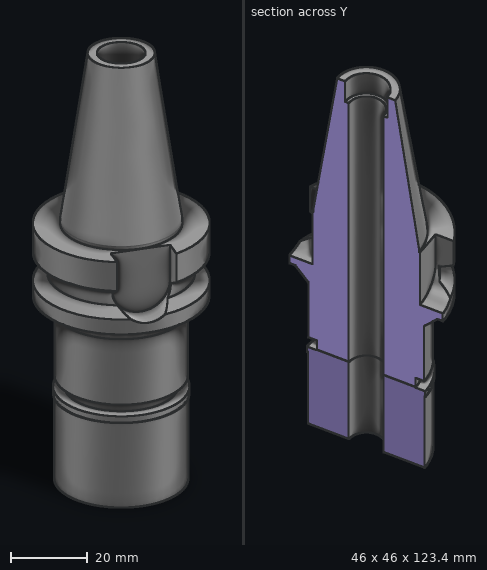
import cadquery as cq

total_height = 123.4
taper_base_z = 75.0
flange_top_z = 74.0
upper_flange_bottom_z = 65.6
groove_top_z = 63.2
groove_bottom_z = 59.6
lower_flange_top_z = 57.4
lower_flange_bottom_z = 53.1
shank_top_z = 48.9
shank_bottom_z = 29.9
nut_top_z = 26.7
collar_bottom_z = 24.7

taper_top_radius = 8.8
taper_base_radius = 15.9
flange_radius = 46.0 / 2
groove_top_radius = 18.9
groove_bottom_radius = 19.3
flange_cone_radius = 21.3
shank_radius = 17.4
neck_radius = 14.8
collar_radius = 17.8
nut_radius = 17.5

bore_radius = 5.2
mouth_radius = 6.3
mouth_depth = 7.0

slot_width = 16.2
slot_bottom_z = 55.9
slot_floor_x = 16.2


def revolve_profile(points):
    """Turn a (radius, height) outline about the Z axis."""
    return cq.Workplane("XZ").polyline(points).close().revolve(360, (0, 0), (0, 1))


def cylinder(radius, bottom_z, top_z):
    return cq.Workplane("XY").workplane(offset=bottom_z).circle(radius).extrude(top_z - bottom_z)


def drive_slot(side):
    """Cutter for one slot; side is -1 for the -X slot and +1 for the +X slot."""
    half_width = slot_width / 2
    arc_center_z = slot_bottom_z + half_width
    depth = flange_radius - slot_floor_x
    return (
        cq.Workplane("YZ")
        .workplane(offset=side * slot_floor_x)
        .moveTo(-half_width, flange_top_z)
        .lineTo(-half_width, arc_center_z)
        .threePointArc((0, slot_bottom_z), (half_width, arc_center_z))
        .lineTo(half_width, flange_top_z)
        .close()
        .extrude(side * depth)
    )


def make_holder():
    """Taper, grooved flange, shank and neck."""
    body = revolve_profile([
        (0, nut_top_z),
        (neck_radius, nut_top_z),
        (neck_radius, shank_bottom_z),
        (shank_radius, shank_bottom_z),
        (shank_radius, shank_top_z),
        (flange_cone_radius, lower_flange_bottom_z),
        (flange_radius, lower_flange_bottom_z),
        (flange_radius, lower_flange_top_z),
        (groove_bottom_radius, groove_bottom_z),
        (groove_top_radius, groove_top_z),
        (flange_radius, upper_flange_bottom_z),
        (flange_radius, flange_top_z),
        (taper_base_radius, flange_top_z),
        (taper_base_radius, taper_base_z),
        (taper_top_radius, total_height),
        (0, total_height),
    ])
    for side in (-1, 1):
        body = body.cut(drive_slot(side))
    body = body.cut(cylinder(bore_radius, nut_top_z, total_height))
    return body.cut(cylinder(mouth_radius, total_height - mouth_depth, total_height))


def make_nut():
    """Clamping nut with a slightly wider collar, seated against the neck."""
    body = cylinder(nut_radius, 0, collar_bottom_z)
    body = body.union(cylinder(collar_radius, collar_bottom_z, nut_top_z))
    return body.cut(cylinder(bore_radius, 0, nut_top_z))


holder = make_holder()
nut = make_nut()

result = cq.Compound.makeCompound([holder.val(), nut.val()])